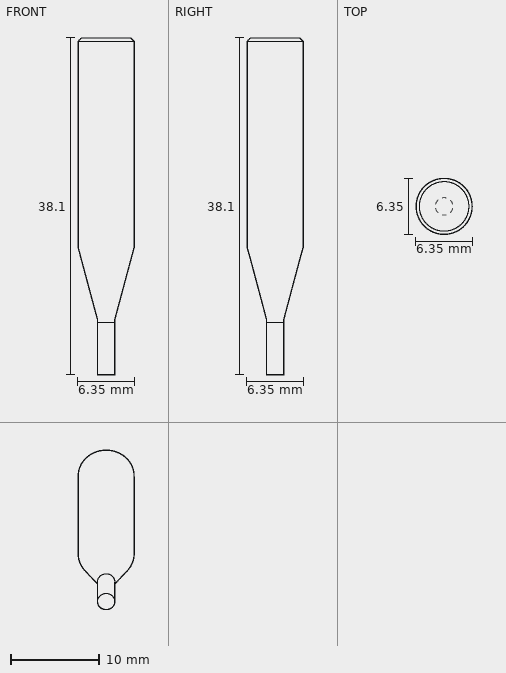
import cadquery as cq

total_length = 38.1
cutter_length = 5.9
neck_length = 0.35
shoulder_height = 14.4

shank_diameter = 6.35
cutter_diameter = 2.0
end_chamfer = 0.4

shank_radius = shank_diameter / 2
cutter_radius = cutter_diameter / 2
taper_start = cutter_length + neck_length


def make_cutter():
    """Plain cylindrical cutting end."""
    return cq.Workplane("XY").circle(cutter_radius).extrude(cutter_length)


def make_shank():
    """Short neck flush with the cutter, taper and chamfered shank, revolved about Z."""
    half_profile = [
        (0, cutter_length),
        (cutter_radius, cutter_length),
        (cutter_radius, taper_start),
        (shank_radius, shoulder_height),
        (shank_radius, total_length - end_chamfer),
        (shank_radius - end_chamfer, total_length),
        (0, total_length),
    ]
    return (
        cq.Workplane("XZ")
        .polyline(half_profile)
        .close()
        .revolve(360, (0, 0, 0), (0, 1, 0))
    )


cutter = make_cutter()
shank = make_shank()

result = cq.Compound.makeCompound([cutter.val(), shank.val()])